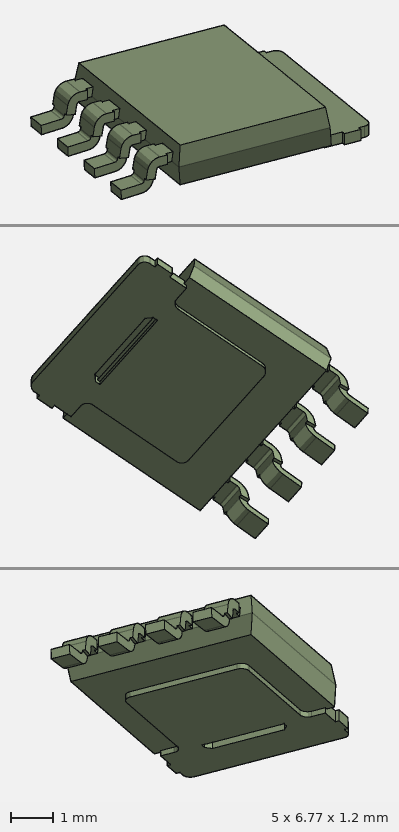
import cadquery as cq
import math

BODY_WIDTH = 5.0
BODY_BOTTOM = 0.14
BODY_TOP = 1.2
BODY_BACK = 4.18
DRAFT_ANGLE = 8.5
PARTING_Z = (BODY_BOTTOM + BODY_TOP) / 2
DRAFT_SLOPE = math.tan(math.radians(DRAFT_ANGLE))

TOTAL_LENGTH = 6.77
TAB_THICKNESS = 0.3
TAB_WIDTH = 4.43
TAB_OUTREACH = 1.22
TAB_SHOULDER_Y = 4.1
TAB_END_Y = BODY_BACK + TAB_OUTREACH
PAD_WIDTH = 3.29
PAD_FRONT_Y = 1.19
CORNER_RADIUS = 0.2

EAR_WIDTH = 4.625
EAR_LENGTH = 0.45
EAR_SETBACK = 0.35

NOTCH_WIDTH = 2.21
NOTCH_CHAMFER = 0.135
NOTCH_SETBACK = 1.03

LEAD_COUNT = 4
LEAD_PITCH = 1.27
LEAD_THICKNESS = 0.25
LEAD_WIDTH = 0.5
SHANK_WIDTH = 0.65
LEAD_TOP = 0.915
LEAD_ROOT = -0.2
SHANK_START = 0.155
SHANK_SETBACK = 0.05
BEND_START = 0.365
BEND_RADIUS = 0.21
LEG_ANGLE = math.radians(80)
FOOT_ANGLE = math.radians(3)
LEAD_REACH = TOTAL_LENGTH - TAB_END_Y


def make_body():
    def section(z):
        inset = abs(z - PARTING_Z) * DRAFT_SLOPE
        half_width = BODY_WIDTH / 2 - inset
        back = BODY_BACK - (z - BODY_BOTTOM) * DRAFT_SLOPE
        corners = [(-half_width, inset), (half_width, inset), (half_width, back), (-half_width, back)]
        return cq.Wire.makePolygon([cq.Vector(x, y, z) for x, y in corners], close=True)

    lower = cq.Solid.makeLoft([section(BODY_BOTTOM), section(PARTING_Z)], True)
    upper = cq.Solid.makeLoft([section(PARTING_Z), section(BODY_TOP)], True)
    return cq.Workplane(lower).union(cq.Workplane(upper))


def plate(width, front, back):
    flat = cq.Workplane().box(width, back - front, TAB_THICKNESS, (True, False, False))
    return flat.translate((0, front, 0))


def make_tab():
    pad = plate(PAD_WIDTH, PAD_FRONT_Y, TAB_SHOULDER_Y).edges("|Z and <Y").fillet(CORNER_RADIUS)
    tab = plate(TAB_WIDTH, TAB_SHOULDER_Y, TAB_END_Y).edges("|Z and >Y").fillet(CORNER_RADIUS)
    tab = tab.union(pad)
    for side in (-1, 1):
        corner_point = (side * PAD_WIDTH / 2, TAB_SHOULDER_Y, TAB_THICKNESS / 2)
        tab = tab.edges("|Z").edges(cq.selectors.NearestToPointSelector(corner_point)).fillet(CORNER_RADIUS)
    ear_back = TAB_END_Y - EAR_SETBACK
    tab = tab.union(plate(EAR_WIDTH, ear_back - EAR_LENGTH, ear_back))
    notch = plate(NOTCH_WIDTH, TAB_SHOULDER_Y, TAB_END_Y - NOTCH_SETBACK)
    return tab.cut(notch.edges("|Z and >Y").chamfer(NOTCH_CHAMFER))


def step(point, angle, along, above):
    """Move along a heading that dips by angle, then square to it, upwards."""
    return (
        point[0] + along * math.cos(angle) + above * math.sin(angle),
        point[1] - along * math.sin(angle) + above * math.cos(angle),
    )


half_thickness = LEAD_THICKNESS / 2
centre_z = LEAD_TOP - half_thickness
bend_out = BEND_RADIUS * (2 * math.sin(LEG_ANGLE) - math.sin(FOOT_ANGLE))
bend_drop = BEND_RADIUS * (1 + math.cos(FOOT_ANGLE) - 2 * math.cos(LEG_ANGLE))
reach_left = LEAD_REACH - BEND_START - bend_out - half_thickness * math.sin(FOOT_ANGLE)
drop_left = centre_z - bend_drop - half_thickness * math.cos(FOOT_ANGLE)
spread = math.sin(LEG_ANGLE - FOOT_ANGLE)
leg_length = (drop_left * math.cos(FOOT_ANGLE) - reach_left * math.sin(FOOT_ANGLE)) / spread
foot_length = (reach_left * math.sin(LEG_ANGLE) - drop_left * math.cos(LEG_ANGLE)) / spread

upper_centre = (BEND_START, centre_z - BEND_RADIUS)
leg_end = step(upper_centre, LEG_ANGLE, leg_length, BEND_RADIUS)
lower_centre = step(leg_end, LEG_ANGLE, 0, BEND_RADIUS)

inner_radius = BEND_RADIUS - half_thickness
outer_radius = BEND_RADIUS + half_thickness
side_plane = cq.Plane(origin=(0, 0, 0), xDir=(0, -1, 0), normal=(-1, 0, 0))


def make_shank(start, setback, width):
    """Level run, upper bend and leg, from a distance off the body to a setback from the leg end."""
    middle = LEG_ANGLE / 2
    return (
        cq.Workplane(side_plane)
        .moveTo(start, LEAD_TOP)
        .lineTo(BEND_START, LEAD_TOP)
        .threePointArc(
            step(upper_centre, middle, 0, outer_radius),
            step(upper_centre, LEG_ANGLE, 0, outer_radius),
        )
        .lineTo(*step(leg_end, LEG_ANGLE, -setback, half_thickness))
        .lineTo(*step(leg_end, LEG_ANGLE, -setback, -half_thickness))
        .lineTo(*step(upper_centre, LEG_ANGLE, 0, inner_radius))
        .threePointArc(
            step(upper_centre, middle, 0, inner_radius),
            step(upper_centre, 0, 0, inner_radius),
        )
        .lineTo(start, LEAD_TOP - LEAD_THICKNESS)
        .close()
        .extrude(width / 2, both=True)
    )


def make_foot():
    """Lower bend and the foot that rests on the board."""
    middle = (LEG_ANGLE + FOOT_ANGLE) / 2
    return (
        cq.Workplane(side_plane)
        .moveTo(*step(leg_end, LEG_ANGLE, 0, half_thickness))
        .threePointArc(
            step(lower_centre, middle, 0, -inner_radius),
            step(lower_centre, FOOT_ANGLE, 0, -inner_radius),
        )
        .lineTo(*step(lower_centre, FOOT_ANGLE, foot_length, -inner_radius))
        .lineTo(*step(lower_centre, FOOT_ANGLE, foot_length, -outer_radius))
        .lineTo(*step(lower_centre, FOOT_ANGLE, 0, -outer_radius))
        .threePointArc(
            step(lower_centre, middle, 0, -outer_radius),
            step(lower_centre, LEG_ANGLE, 0, -outer_radius),
        )
        .close()
        .extrude(LEAD_WIDTH / 2, both=True)
    )


def make_lead():
    core = make_shank(LEAD_ROOT, 0, LEAD_WIDTH)
    wide_stretch = make_shank(SHANK_START, SHANK_SETBACK, SHANK_WIDTH)
    return core.union(wide_stretch).union(make_foot())


result = make_body().union(make_tab())
lead = make_lead()
for index in range(LEAD_COUNT):
    lead_x = (index - (LEAD_COUNT - 1) / 2) * LEAD_PITCH
    result = result.union(lead.translate((lead_x, 0, 0)))